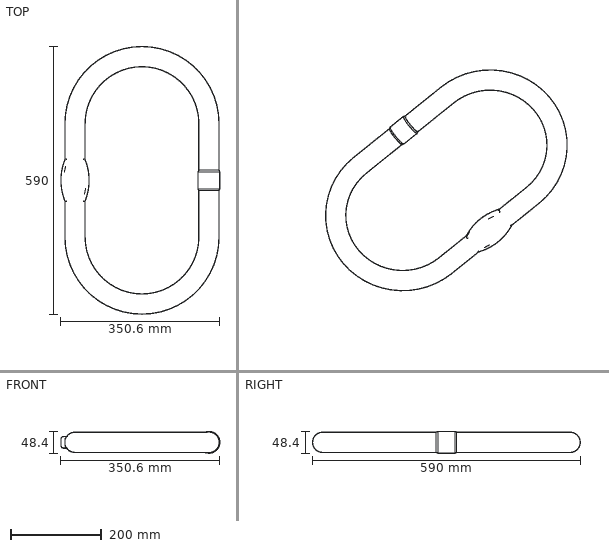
import math

import cadquery as cq

INNER_LENGTH = 500.0
INNER_WIDTH = 250.0
WIRE_DIAMETER = 45.0

WIRE_RADIUS = WIRE_DIAMETER / 2
BEND_RADIUS = (INNER_WIDTH + WIRE_DIAMETER) / 2
STRAIGHT_LENGTH = INNER_LENGTH - INNER_WIDTH

COLLAR_DIAMETER = 48.38
COLLAR_LENGTH = 45.0
COLLAR_TAPER_LENGTH = 3.6

FLAT_THICKNESS = 26.4
FLAT_LENGTH = 104.5
FLAT_BLEND_RADIUS = 2.5
FLAT_HALF_THICKNESS = FLAT_THICKNESS / 2

BULGE_WIDTH = 62.8
BULGE_LENGTH = 94.0
BULGE_SIDE_RADIUS = 120.0
BULGE_EDGE_RADIUS = 6.5


def make_link():
    """Round wire swept along two straight legs and two half-circle bends."""
    half_straight = STRAIGHT_LENGTH / 2
    bend_end = half_straight + BEND_RADIUS
    path = (
        cq.Workplane("XY")
        .moveTo(BEND_RADIUS, -half_straight)
        .lineTo(BEND_RADIUS, half_straight)
        .threePointArc((0, bend_end), (-BEND_RADIUS, half_straight))
        .lineTo(-BEND_RADIUS, -half_straight)
        .threePointArc((0, -bend_end), (BEND_RADIUS, -half_straight))
        .close()
    )
    return (
        cq.Workplane("XZ", origin=(BEND_RADIUS, -half_straight, 0))
        .circle(WIRE_RADIUS)
        .sweep(path)
    )


def make_collar():
    """Sleeve around the +X leg, tapering down to the wire at both ends."""
    half_length = COLLAR_LENGTH / 2
    half_land = half_length - COLLAR_TAPER_LENGTH
    collar_radius = COLLAR_DIAMETER / 2
    return (
        cq.Workplane("XY", origin=(BEND_RADIUS, 0, 0))
        .moveTo(0, -half_length)
        .lineTo(WIRE_RADIUS, -half_length)
        .lineTo(collar_radius, -half_land)
        .lineTo(collar_radius, half_land)
        .lineTo(WIRE_RADIUS, half_length)
        .lineTo(0, half_length)
        .close()
        .revolve(360, (0, 0, 0), (0, 1, 0))
    )


def make_flat_cutter(side):
    """Material pressed away above (side = 1) or below (side = -1) the flat."""
    half_length = FLAT_LENGTH / 2
    run_out = WIRE_DIAMETER - FLAT_HALF_THICKNESS
    return (
        cq.Workplane("YZ", origin=(-BEND_RADIUS, 0, 0))
        .moveTo(-half_length, side * FLAT_HALF_THICKNESS)
        .lineTo(half_length, side * FLAT_HALF_THICKNESS)
        .lineTo(half_length + run_out, side * WIRE_DIAMETER)
        .lineTo(-half_length - run_out, side * WIRE_DIAMETER)
        .close()
        .extrude(WIRE_DIAMETER, both=True)
    )


def flat_region():
    """Box selector around the whole forged flat and its run-outs."""
    half_length = FLAT_LENGTH / 2 + WIRE_RADIUS
    return cq.selectors.BoxSelector(
        (-BEND_RADIUS - WIRE_DIAMETER, -half_length, -WIRE_DIAMETER),
        (-BEND_RADIUS + WIRE_DIAMETER, half_length, WIRE_DIAMETER),
        boundingbox=True,
    )


def press_flat(link):
    """Flatten the -X leg top and bottom and round the edges this leaves."""
    for side in (1, -1):
        link = link.cut(make_flat_cutter(side))
    return link.edges(flat_region()).fillet(FLAT_BLEND_RADIUS)


def make_bulge():
    """Barrel-shaped plate squeezed out sideways, with rounded long edges."""
    half_length = BULGE_LENGTH / 2
    half_width = BULGE_WIDTH / 2
    side_rise = BULGE_SIDE_RADIUS - math.sqrt(BULGE_SIDE_RADIUS**2 - half_length**2)
    half_end = half_width - side_rise
    return (
        cq.Workplane("XY", origin=(-BEND_RADIUS, 0, -FLAT_HALF_THICKNESS))
        .moveTo(-half_end, -half_length)
        .lineTo(half_end, -half_length)
        .threePointArc((half_width, 0), (half_end, half_length))
        .lineTo(-half_end, half_length)
        .threePointArc((-half_width, 0), (-half_end, -half_length))
        .close()
        .extrude(FLAT_THICKNESS)
        .edges("%CIRCLE")
        .fillet(BULGE_EDGE_RADIUS)
    )


result = press_flat(make_link()).union(make_bulge()).union(make_collar())